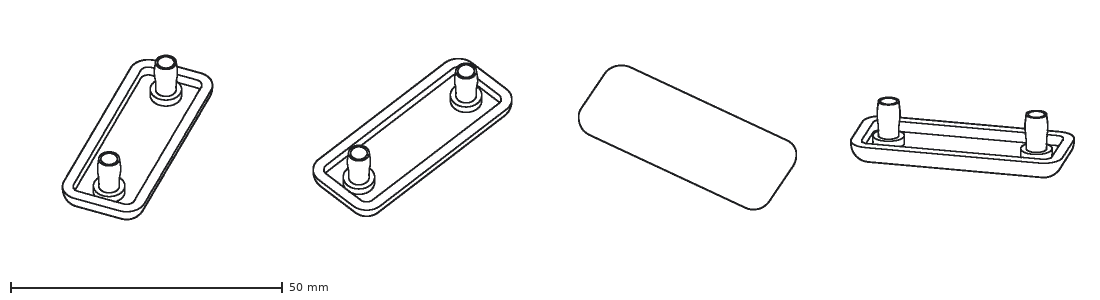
import cadquery as cq

length = 40.0
width = 16.0
thickness = 4.0
straight_edge = 0.5
edge_radius = thickness - straight_edge

rim_width = 2.0
pocket_depth = 2.0
pocket_floor = thickness - pocket_depth
pocket_corner_radius = edge_radius - rim_width

pin_offset = 14.0
boss_diameter = 5.8
boss_height = 1.5
pin_radius = 1.9
barrel_radius = 2.1
taper_length = 1.9
barrel_length = 1.1
pin_top = 10.3
barrel_top = pin_top - taper_length
barrel_bottom = barrel_top - barrel_length
taper_bottom = barrel_bottom - taper_length
bore_radius = 1.5
bore_bottom = pocket_floor


def make_plate():
    """Rounded block whose lower corners are parts of spheres."""
    core_width = width - 2 * edge_radius
    core_length = length - 2 * edge_radius
    upper = (
        cq.Workplane("XY")
        .workplane(offset=edge_radius)
        .rect(width, length)
        .extrude(straight_edge)
        .edges("|Z")
        .fillet(edge_radius)
    )
    corners = cq.Workplane("XY").workplane(offset=edge_radius).rect(core_width, core_length, forConstruction=True)
    lower = cq.Workplane("XY").box(core_width, core_length, edge_radius, centered=(True, True, False))
    for side in (-1, 1):
        long_edge = (
            cq.Workplane("XZ", origin=(side * core_width / 2, core_length / 2, edge_radius))
            .circle(edge_radius)
            .extrude(core_length)
        )
        short_edge = (
            cq.Workplane("YZ", origin=(-core_width / 2, side * core_length / 2, edge_radius))
            .circle(edge_radius)
            .extrude(core_width)
        )
        lower = lower.union(long_edge).union(short_edge)
    lower = lower.union(corners.vertices().sphere(edge_radius))
    below_edge = cq.Workplane("XY").box(width, length, edge_radius, centered=(True, True, False))
    return lower.intersect(below_edge).union(upper)


def make_pocket():
    return (
        cq.Workplane("XY")
        .workplane(offset=pocket_floor)
        .rect(width - 2 * rim_width, length - 2 * rim_width)
        .extrude(pocket_depth)
        .edges("|Z")
        .fillet(pocket_corner_radius)
    )


def make_boss(y):
    return (
        cq.Workplane("XY", origin=(0, y, pocket_floor))
        .circle(boss_diameter / 2)
        .extrude(boss_height)
    )


def make_pin(y):
    """Round pin with a wider barrel between two tapers."""
    return (
        cq.Workplane("XZ", origin=(0, y, 0))
        .moveTo(0, pocket_floor)
        .lineTo(pin_radius, pocket_floor)
        .lineTo(pin_radius, taper_bottom)
        .lineTo(barrel_radius, barrel_bottom)
        .lineTo(barrel_radius, barrel_top)
        .lineTo(pin_radius, pin_top)
        .lineTo(0, pin_top)
        .close()
        .revolve(360, (0, 0, 0), (0, 1, 0))
    )


def make_bore(y):
    """Blind bore with a hemispherical bottom."""
    round_centre = bore_bottom + bore_radius
    straight = (
        cq.Workplane("XY", origin=(0, y, round_centre))
        .circle(bore_radius)
        .extrude(pin_top - round_centre)
    )
    return straight.union(cq.Workplane("XY", origin=(0, y, round_centre)).sphere(bore_radius))


result = make_plate().cut(make_pocket())
for pin_y in (-pin_offset, pin_offset):
    result = result.union(make_boss(pin_y)).union(make_pin(pin_y)).cut(make_bore(pin_y))